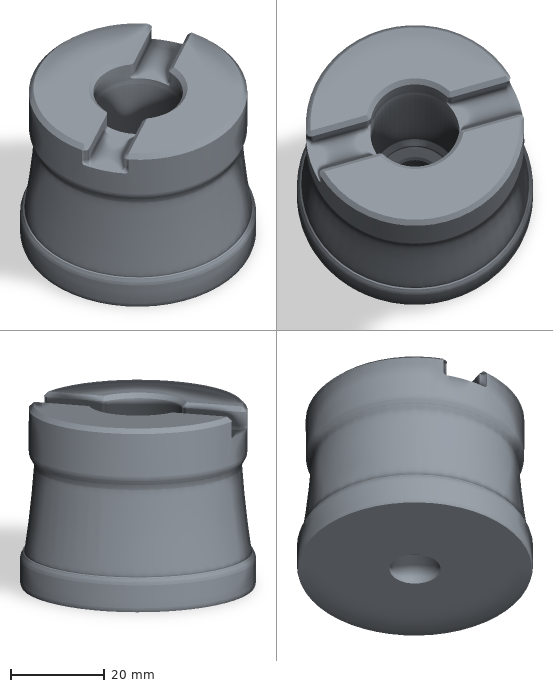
import cadquery as cq
import math

total_height = 40.0
head_radius = 47.0 / 2
head_bottom = 29.0
neck_height = 27.0
neck_angle = math.radians(30)
neck_radius = head_radius - (head_bottom - neck_height) * math.tan(neck_angle)
neck_rounding = 2.0

skirt_curve_radius = 230.0
skirt_bottom = 7.75
spigot_radius = 48.8 / 2

mouth_radius = 19.25 / 2
mouth_bottom = 34.8
mouth_cone_height = 1.1
bore_radius = 19.06 / 2
seat_radius = 8.42
seat_bottom = 8.5
floor_height = 8.0
floor_rounding = 0.18
hole_radius = 11.0 / 2
hole_chamfer = 0.55

slot_width = 8.0
slot_depth = 4.9
slot_floor = total_height - slot_depth
slot_floor_fillet = 0.75
pad_corner_radius = 1.05
pad_chamfer = 1.0
pad_chamfer_angle = 45
pad_base = total_height - pad_chamfer

ring_radius = 50.76 / 2
lip_rounding = 0.25
lip_radius = spigot_radius + 2 * lip_rounding
lip_top = 7.6
shoulder_height = 6.37
foot_height = 0.65
foot_angle = math.radians(20)
foot_radius = ring_radius - foot_height * math.tan(foot_angle)
ring_rounding = 1.6


def revolve(profile):
    """Turn a closed (radius, height) profile about the Z axis."""
    return profile.close().revolve(360, (0, 0, 0), (0, 1, 0))


def circles_at(radius, height):
    """Selector for the circular edges of one radius at one height."""
    margin = 0.05
    reach = radius + margin
    return cq.selectors.BoxSelector(
        (-reach, -reach, height - margin), (reach, reach, height + margin), boundingbox=True
    )


wall_x = slot_width / 2
corner_x = wall_x + pad_corner_radius


def corner_points(circle_radius, centre_distance):
    """Tangent points of a pad corner: on the slot wall, and on the circle."""
    centre_y = math.sqrt(centre_distance**2 - corner_x**2)
    scale = circle_radius / centre_distance
    return (wall_x, centre_y), (corner_x * scale, centre_y * scale)


outer_wall_point, outer_point = corner_points(head_radius, head_radius - pad_corner_radius)
inner_wall_point, inner_point = corner_points(mouth_radius, mouth_radius + pad_corner_radius)


def across(point):
    """The same point on the -Y side."""
    return point[0], -point[1]


def make_blank():
    """Housing up to the foot of the pad chamfers, without the slot."""
    profile = (
        cq.Workplane("XZ")
        .moveTo(hole_radius, 0)
        .lineTo(spigot_radius, 0)
        .lineTo(spigot_radius, skirt_bottom)
        .radiusArc((neck_radius, neck_height), skirt_curve_radius)
        .lineTo(head_radius, head_bottom)
        .lineTo(head_radius, pad_base)
        .lineTo(mouth_radius, pad_base)
        .lineTo(mouth_radius, mouth_bottom)
        .lineTo(bore_radius, mouth_bottom - mouth_cone_height)
        .lineTo(bore_radius, seat_bottom + bore_radius - seat_radius)
        .lineTo(seat_radius, seat_bottom)
        .lineTo(seat_radius, floor_height)
        .lineTo(hole_radius + hole_chamfer, floor_height)
        .lineTo(hole_radius, floor_height - hole_chamfer)
    )
    neck_edges = cq.selectors.SumSelector(
        circles_at(head_radius, head_bottom), circles_at(neck_radius, neck_height)
    )
    blank = revolve(profile).edges(neck_edges).fillet(neck_rounding)
    return blank.edges(circles_at(seat_radius, floor_height)).fillet(floor_rounding)


def make_slot_cutter():
    """Cutter for the half of the slot on the +Y side, with rounded lower edges."""
    past_head = head_radius + 1
    margin = 0.01
    foot_edges = cq.selectors.BoxSelector(
        (-outer_point[0] - margin, inner_point[1] - margin, slot_floor - margin),
        (outer_point[0] + margin, outer_point[1] + margin, slot_floor + margin),
        boundingbox=True,
    )
    outline = (
        cq.Workplane("XY", origin=(0, 0, slot_floor))
        .moveTo(*inner_point)
        .radiusArc(inner_wall_point, -pad_corner_radius)
        .lineTo(*outer_wall_point)
        .radiusArc(outer_point, -pad_corner_radius)
        .lineTo(outer_point[0], past_head)
        .lineTo(-outer_point[0], past_head)
        .lineTo(-outer_point[0], outer_point[1])
        .radiusArc((-wall_x, outer_wall_point[1]), -pad_corner_radius)
        .lineTo(-wall_x, inner_wall_point[1])
        .radiusArc((-inner_point[0], inner_point[1]), -pad_corner_radius)
        .close()
    )
    cutter = outline.extrude(slot_depth)
    return cutter.edges(foot_edges).edges("not |X").fillet(slot_floor_fillet)


def make_pad_top():
    """Chamfered top of the pad on the +X side of the slot."""
    return (
        cq.Workplane("XY", origin=(0, 0, pad_base))
        .moveTo(*inner_wall_point)
        .lineTo(*outer_wall_point)
        .radiusArc(outer_point, pad_corner_radius)
        .threePointArc((head_radius, 0), across(outer_point))
        .radiusArc(across(outer_wall_point), pad_corner_radius)
        .lineTo(*across(inner_wall_point))
        .radiusArc(across(inner_point), pad_corner_radius)
        .threePointArc((mouth_radius, 0), inner_point)
        .radiusArc(inner_wall_point, pad_corner_radius)
        .close()
        .extrude(pad_chamfer, taper=pad_chamfer_angle)
    )


def make_bumper_ring():
    """Ring with a half-round lip, a sloped shoulder and a slightly tapered foot."""
    profile = (
        cq.Workplane("XZ")
        .moveTo(spigot_radius, 0)
        .lineTo(foot_radius, 0)
        .lineTo(ring_radius, foot_height)
        .lineTo(ring_radius, shoulder_height)
        .lineTo(lip_radius, lip_top - lip_rounding)
        .threePointArc((lip_radius - lip_rounding, lip_top), (spigot_radius, lip_top - lip_rounding))
    )
    outer_edges = cq.selectors.SumSelector(
        circles_at(ring_radius, foot_height), circles_at(ring_radius, shoulder_height)
    )
    return revolve(profile).edges(outer_edges).fillet(ring_rounding)


def make_housing():
    """Blank with the slot cut through its head and the two pad tops added."""
    half_turn = ((0, 0, 0), (0, 0, 1), 180)
    housing = make_blank()
    cutter = make_slot_cutter()
    pad_top = make_pad_top()
    for turned_cutter in (cutter, cutter.rotate(*half_turn)):
        housing = housing.cut(turned_cutter)
    for turned_pad in (pad_top, pad_top.rotate(*half_turn)):
        housing = housing.union(turned_pad, clean=False)
    return housing


housing = make_housing()
bumper_ring = make_bumper_ring()
result = cq.Compound.makeCompound([housing.val(), bumper_ring.val()])